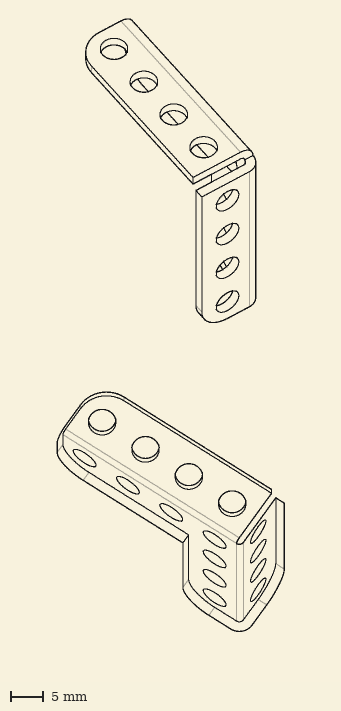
import cadquery as cq

overall_length = 34.4
sheet_thickness = 1.6
bend_inner_radius = 0.75
bend_outer_radius = bend_inner_radius + sheet_thickness

hole_diameter = 4.2
hole_pitch = 8.0
holes_per_arm = 4
first_hole_from_end = hole_pitch / 2

wall_width = 11.2
end_corner_radius = 4.8
hole_from_outer_face = wall_width - end_corner_radius

arm_free_end_x = -overall_length
arm_length = overall_length - bend_outer_radius


def rounded_bar(inset, bend_radius):
    """Square bar along X, set in from the outer back faces, with its back top edge rounded."""
    return (
        cq.Workplane("YZ", origin=(arm_free_end_x, -inset, -inset))
        .rect(-wall_width, -wall_width, centered=False)
        .extrude(arm_length)
        .edges("|X and >Y and >Z")
        .fillet(bend_radius)
    )


def angle_section():
    """Folded angle section in YZ, extruded along X for the length of an arm."""
    outer = rounded_bar(0, bend_outer_radius)
    inner = rounded_bar(sheet_thickness, bend_inner_radius)
    return outer.cut(inner)


def round_free_end(arm):
    """Round the free corner of the upright wall, then of the flange."""
    arm = arm.edges("|Y and <X and <Z").fillet(end_corner_radius)
    return arm.edges("|Z and <X and <Y").fillet(end_corner_radius)


def drill_walls(arm):
    """Drill the same row of holes through the upright wall and the flange."""
    first_hole_x = arm_free_end_x + first_hole_from_end
    for index in range(holes_per_arm):
        center = (first_hole_x + index * hole_pitch, -hole_from_outer_face)
        wall_hole = (
            cq.Workplane("XZ")
            .center(*center)
            .circle(hole_diameter / 2)
            .extrude(sheet_thickness)
        )
        flange_hole = (
            cq.Workplane("XY")
            .center(*center)
            .circle(hole_diameter / 2)
            .extrude(-sheet_thickness)
        )
        arm = arm.cut(wall_hole).cut(flange_hole)
    return arm


horizontal_arm = drill_walls(round_free_end(angle_section()))

diagonal_normal = cq.Vector(1, 0, -1)
vertical_arm = horizontal_arm.mirror(diagonal_normal)

result = horizontal_arm.union(vertical_arm)